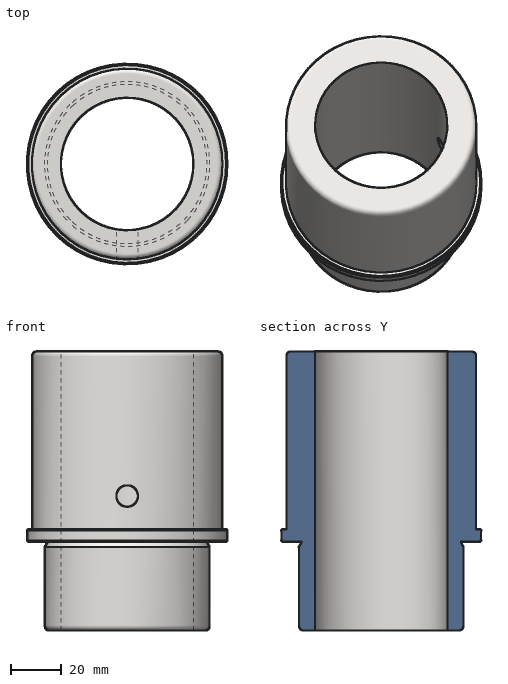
import cadquery as cq

total_height = 110.0
flange_bottom = 35.0
flange_top = 40.0
hole_height = 53.0

flange_diameter = 79.0
body_diameter = 75.0
spigot_diameter = 65.0
bore_diameter = 52.0
hole_diameter = 8.5

body_fillet = 2.0
spigot_fillet = 2.0
flange_chamfer = 0.5
relief_height = 2.0
relief_depth = 1.1


def turned_blank():
    """Spigot, flange and body, stacked along Z."""
    spigot = cq.Workplane("XY").circle(spigot_diameter / 2).extrude(flange_bottom)
    spigot = spigot.faces("<Z").edges().fillet(spigot_fillet)
    spigot = spigot.faces(">Z").edges().chamfer(relief_height, relief_depth)

    flange = (
        cq.Workplane("XY", origin=(0, 0, flange_bottom))
        .circle(flange_diameter / 2)
        .extrude(flange_top - flange_bottom)
        .edges()
        .chamfer(flange_chamfer)
    )

    body = (
        cq.Workplane("XY", origin=(0, 0, flange_top))
        .circle(body_diameter / 2)
        .extrude(total_height - flange_top)
        .faces(">Z")
        .edges()
        .fillet(body_fillet)
    )
    return spigot.union(flange).union(body)


def bore():
    """Straight bore through the full height."""
    return cq.Workplane("XY").circle(bore_diameter / 2).extrude(total_height)


def side_hole():
    """Radial hole through the -Y wall, ending inside the bore."""
    return (
        cq.Workplane("XZ", origin=(0, 0, hole_height))
        .circle(hole_diameter / 2)
        .extrude(flange_diameter / 2)
    )


result = turned_blank().cut(bore()).cut(side_hole())